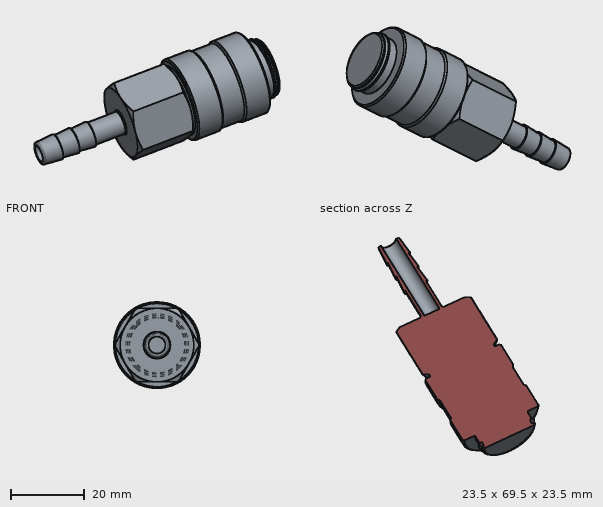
import cadquery as cq
import math

LENGTH = 69.5
HALF_LENGTH = LENGTH / 2

TAIL_RADIUS = 3.3
BARB_RADIUS = 3.7
BARB_COUNT = 3
BARB_PITCH = 5.0
LAST_BARB = 5.55
TIP_ROUND = 0.4
BORE_RADIUS = 2.3
ROOT_FLARE = 0.35

HEX_START = 24.95
HEX_END = 41.9
HEX_SIDES = 6
HEX_FLATS = 20.0
HEX_CHAMFER_ANGLE = 30.0
HEX_CORNER_RADIUS = HEX_FLATS / 2 / math.cos(math.pi / HEX_SIDES)

SLEEVE_START = 42.5
SLEEVE_END = 64.8
SLEEVE_RADIUS = 11.75
SLEEVE_CHAMFER = 0.4
WAIST_RADIUS = 11.25
WAIST_START = 50.45
WAIST_END = 56.85
COLLAR_RADIUS = 10.0

NECK_RADIUS = 8.1
NECK_CHAMFER = 0.4
RING_START = 67.5
RING_END = 68.7
RING_OUTER_RADIUS = 8.55
RING_INNER_RADIUS = 7.5
RING_CHAMFER_WIDTH = 0.4
RING_CHAMFER_LENGTH = 0.7
RING_GAP = 0.6


def cylinder(radius, start, end):
    """Cylinder along Y between two distances from the hose tip."""
    plane = cq.Workplane("XZ", origin=(0, start - HALF_LENGTH, 0))
    return plane.circle(radius).extrude(start - end)


def revolved(points):
    """Turn a (radius, distance from tip) outline about the Y axis."""
    outline = [(radius, distance - HALF_LENGTH) for radius, distance in points]
    return cq.Workplane("XY").polyline(outline).close().revolve(360, (0, 0, 0), (0, 1, 0))


def make_tail():
    barb_starts = [LAST_BARB + i * BARB_PITCH for i in range(BARB_COUNT)]
    tail = cylinder(TAIL_RADIUS, 0, HEX_START).faces("<Y").edges().fillet(TIP_ROUND)
    barb_foot = TIP_ROUND
    for barb_top in barb_starts:
        barb = revolved([
            (0, barb_foot), (TAIL_RADIUS, barb_foot), (BARB_RADIUS, barb_top), (0, barb_top),
        ])
        tail = tail.union(barb)
        barb_foot = barb_top
    root = revolved([
        (0, HEX_START - ROOT_FLARE), (TAIL_RADIUS, HEX_START - ROOT_FLARE),
        (TAIL_RADIUS + ROOT_FLARE, HEX_START), (0, HEX_START),
    ])
    return tail.union(root)


def make_hexagon():
    plane = cq.Workplane("XZ", origin=(0, HEX_START - HALF_LENGTH, 0))
    prism = plane.polygon(HEX_SIDES, 2 * HEX_CORNER_RADIUS).extrude(HEX_START - HEX_END)
    face_radius = HEX_FLATS / 2
    corner_height = (HEX_CORNER_RADIUS - face_radius) * math.tan(math.radians(HEX_CHAMFER_ANGLE))
    corner_envelope = revolved([
        (0, HEX_START), (face_radius, HEX_START), (HEX_CORNER_RADIUS, HEX_START + corner_height),
        (HEX_CORNER_RADIUS, HEX_END - corner_height), (face_radius, HEX_END), (0, HEX_END),
    ])
    return prism.intersect(corner_envelope)


def make_sleeve():
    chamfer_radius = SLEEVE_RADIUS - SLEEVE_CHAMFER
    waist_slope = SLEEVE_RADIUS - WAIST_RADIUS
    return revolved([
        (0, SLEEVE_START),
        (chamfer_radius, SLEEVE_START),
        (SLEEVE_RADIUS, SLEEVE_START + SLEEVE_CHAMFER),
        (SLEEVE_RADIUS, WAIST_START - waist_slope),
        (WAIST_RADIUS, WAIST_START),
        (WAIST_RADIUS, WAIST_END),
        (SLEEVE_RADIUS, WAIST_END + waist_slope),
        (SLEEVE_RADIUS, SLEEVE_END - SLEEVE_CHAMFER),
        (chamfer_radius, SLEEVE_END),
        (0, SLEEVE_END),
    ])


def make_neck():
    neck = cylinder(NECK_RADIUS, SLEEVE_END, LENGTH).faces(">Y").edges().chamfer(NECK_CHAMFER)
    groove = cylinder(NECK_RADIUS, RING_START, RING_END)
    groove_floor = cylinder(RING_INNER_RADIUS, RING_START, RING_END)
    return neck.cut(groove.cut(groove_floor))


def make_coupling():
    collar = cylinder(COLLAR_RADIUS, HEX_END, SLEEVE_START)
    coupling = make_tail().union(make_hexagon()).union(collar).union(make_sleeve()).union(make_neck())
    bore = cylinder(BORE_RADIUS, 0, HEX_START)
    return coupling.cut(bore)


def make_retaining_ring():
    ring = revolved([
        (RING_INNER_RADIUS, RING_START),
        (RING_OUTER_RADIUS, RING_START),
        (RING_OUTER_RADIUS, RING_END - RING_CHAMFER_LENGTH),
        (RING_OUTER_RADIUS - RING_CHAMFER_WIDTH, RING_END),
        (RING_INNER_RADIUS, RING_END),
    ])
    gap = cq.Workplane("XY").box(RING_GAP, LENGTH, RING_OUTER_RADIUS, centered=(True, True, False))
    return ring.cut(gap)


coupling = make_coupling()
retaining_ring = make_retaining_ring()
result = cq.Compound.makeCompound([coupling.val(), retaining_ring.val()])